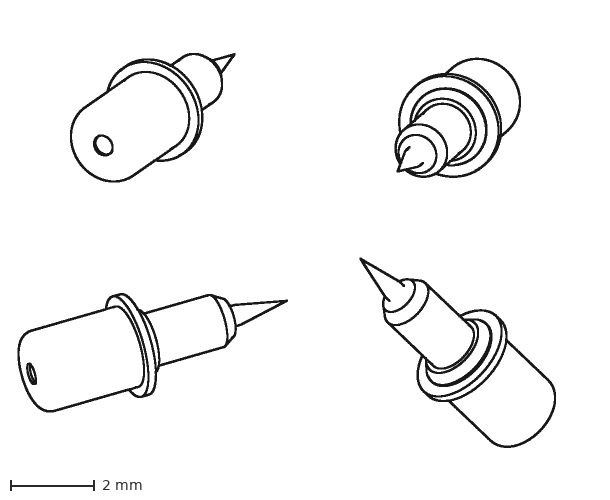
import cadquery as cq


head_radius = 1.0
head_length = 2.5
head_rounding = 0.3
recess_radius = 0.25
recess_depth = 0.07

flange_radius = 1.25
flange_thickness = 0.2

collar_radius = 0.95
collar_neck_length = 0.05
collar_taper_length = 0.25
collar_top_radius = 0.775

barrel_radius = 0.65
barrel_length = 1.84
barrel_taper_length = 0.3
barrel_top_radius = 0.475

needle_radius = 0.25
root_fillet = 0.1
needle_neck_length = 0.27
cone_length = 1.29

head_end = -head_length
collar_base = flange_thickness
collar_taper_start = collar_base + collar_neck_length
barrel_base = collar_taper_start + collar_taper_length
barrel_taper_start = barrel_base + barrel_length
needle_base = barrel_taper_start + barrel_taper_length
cone_base = needle_base + needle_neck_length
tip = cone_base + cone_length


def make_head():
    """Head cylinder with its free end rounded and recessed."""
    cylinder = cq.Workplane("XZ").circle(head_radius).extrude(head_length)
    rounded = cylinder.faces("<Y").edges().fillet(head_rounding)
    recess = (
        cq.Workplane("XZ", origin=(0, head_end, 0))
        .circle(recess_radius)
        .extrude(-recess_depth)
    )
    return rounded.cut(recess)


def make_shaft():
    """Flange, collar, barrel and needle as one revolved half profile."""
    root_center_radius = needle_radius + root_fillet
    root_center_y = needle_base + root_fillet
    diagonal = root_fillet * 0.5 ** 0.5
    return (
        cq.Workplane("XY")
        .moveTo(0, 0)
        .lineTo(flange_radius, 0)
        .lineTo(flange_radius, collar_base)
        .lineTo(collar_radius, collar_base)
        .lineTo(collar_radius, collar_taper_start)
        .lineTo(collar_top_radius, barrel_base)
        .lineTo(barrel_radius, barrel_base)
        .lineTo(barrel_radius, barrel_taper_start)
        .lineTo(barrel_top_radius, needle_base)
        .lineTo(root_center_radius, needle_base)
        .threePointArc(
            (root_center_radius - diagonal, root_center_y - diagonal),
            (needle_radius, root_center_y),
        )
        .lineTo(needle_radius, cone_base)
        .lineTo(0, tip)
        .close()
        .revolve(360, (0, 0, 0), (0, 1, 0))
    )


result = make_shaft().union(make_head())